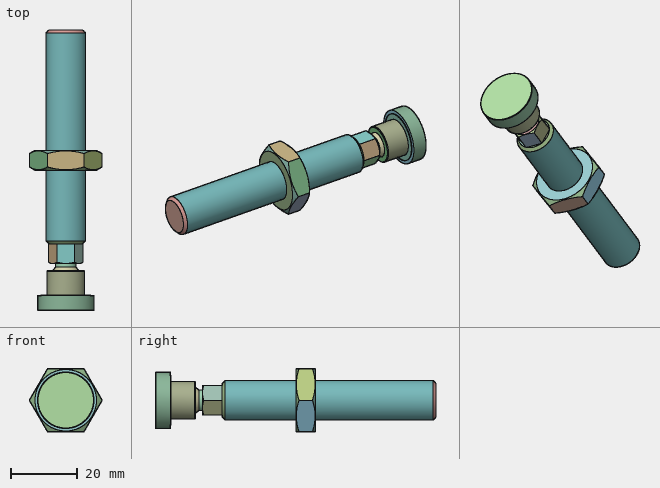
import cadquery as cq
import math

total_length = 84.4

foot_diameter = 17.0
foot_flange_height = 4.5
foot_edge_chamfer = 0.15
step_diameter = 14.8
step_top = 4.7
hub_diameter = 11.4
hub_top = 12.0
hub_chamfer = 0.25

ball_radius = 4.3
neck_radius = 3.1
neck_ball_end = 13.1
ball_center = neck_ball_end - math.sqrt(ball_radius**2 - neck_radius**2)

hex_across_flats = 9.0
hex_start = 14.1
hex_face_diameter = 8.8
rod_diameter = 12.0
rod_start = 20.1
rod_chamfer = 0.9

nut_across_flats = 19.0
nut_start = 42.2
nut_thickness = 6.0
nut_face_diameter = 18.5

corner_chamfer_angle = 30.0


def axis_plane(distance):
    """Plane across the axis whose normal points along +Y."""
    return cq.Workplane(cq.Plane(origin=(0, distance, 0), xDir=(1, 0, 0), normal=(0, 1, 0)))


def cylinder(diameter, start, end):
    """Round bar along the axis between two distances."""
    return axis_plane(start).circle(diameter / 2).extrude(end - start)


def hexagon(across_flats, start, end):
    """Hexagonal prism with corners on the X axis and flats facing +Z and -Z."""
    corner_diameter = 2 * across_flats / math.sqrt(3)
    return axis_plane(start).polygon(6, corner_diameter).extrude(end - start)


def chamfer_cone(across_flats, face_diameter, start, end):
    """Turned blank that bevels the corners of a hexagon at its start face."""
    corner_radius = across_flats / math.sqrt(3)
    face_radius = face_diameter / 2
    bevel = (corner_radius - face_radius) * math.tan(math.radians(corner_chamfer_angle))
    profile = [
        (0, start),
        (face_radius, start),
        (corner_radius, start + bevel),
        (corner_radius, end),
        (0, end),
    ]
    return cq.Workplane("XY").polyline(profile).close().revolve(360, (0, 0), (0, 1))


def ball():
    """Ball of the joint, also used to cut the matching socket in the foot."""
    return cq.Workplane("XY", origin=(0, ball_center, 0)).sphere(ball_radius)


def make_foot():
    flange = cylinder(foot_diameter, 0, foot_flange_height).faces("<Y").chamfer(foot_edge_chamfer)
    step = cylinder(step_diameter, 0, step_top)
    hub = cylinder(hub_diameter, 0, hub_top).faces(">Y").chamfer(hub_chamfer)
    return flange.union(step).union(hub).cut(ball())


def make_spindle():
    rod = cylinder(rod_diameter, rod_start, total_length).faces("<Y or >Y").chamfer(rod_chamfer)
    wrench_hex = hexagon(hex_across_flats, hex_start, rod_start)
    wrench_hex = wrench_hex.intersect(
        chamfer_cone(hex_across_flats, hex_face_diameter, hex_start, rod_start)
    )
    neck = cylinder(2 * neck_radius, ball_center, hex_start)
    return rod.union(wrench_hex).union(neck).union(ball())


def make_nut():
    nut_end = nut_start + nut_thickness
    nut_middle = nut_start + nut_thickness / 2
    front_cone = chamfer_cone(nut_across_flats, nut_face_diameter, nut_start, nut_end)
    back_cone = front_cone.mirror("XZ", (0, nut_middle, 0))
    blank = hexagon(nut_across_flats, nut_start, nut_end).intersect(front_cone).intersect(back_cone)
    return blank.cut(cylinder(rod_diameter, nut_start, nut_end))


foot = make_foot()
spindle = make_spindle()
nut = make_nut()

result = cq.Compound.makeCompound([foot.solids().val(), spindle.solids().val(), nut.solids().val()])